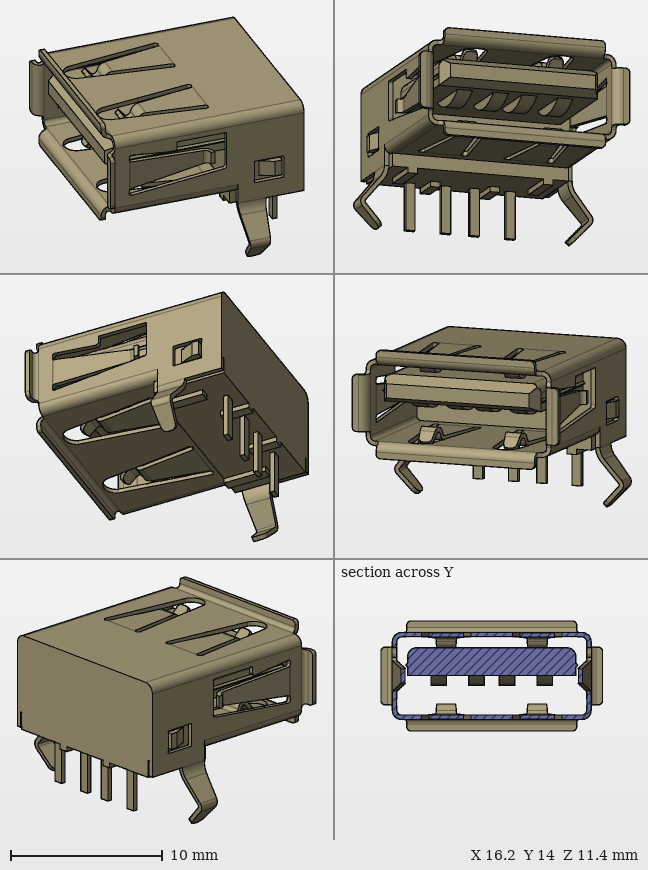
import cadquery as cq
import math


SHEET = 0.31
OPENING_WIDTH = 12.5
OPENING_HEIGHT = 5.14
SHELL_WIDTH = OPENING_WIDTH + 2 * SHEET
SHELL_HEIGHT = OPENING_HEIGHT + 2 * SHEET
TOTAL_DEPTH = 14.0
CORNER_RADIUS = 0.64
FLOOR_BACK = 9.31
SKIRT_BOTTOM = -0.76
MID_HEIGHT = SHELL_HEIGHT / 2

LIP_INNER_RADIUS = 0.3
LIP_ROOT = LIP_INNER_RADIUS + SHEET
LIP_REACH = 0.75
LIP_TIP_RADIUS = 0.3
LIP_RELIEF_RADIUS = 0.28
WIDE_LIP = 11.22
SIDE_LIP = 3.82

LEAF_X = 3.0
LEAF_ROOT = 8.0
LEAF_TAPER_FRONT = 1.38
LEAF_WINDOW_FRONT = 0.77
LEAF_WINDOW_ROOT_WIDTH = 3.49
LEAF_WINDOW_FRONT_WIDTH = 1.72
LEAF_ROOT_WIDTH = 2.61
LEAF_TAPER = 0.146
LEAF_SLOPE = 1.0
LEAF_LENGTH = 4.07
LEAF_STEP_RADIUS = 0.3
LEAF_STEP_TURN = 75.0
LEAF_CONTACT_RADIUS = 0.27
LEAF_TIP_RISE = 50.0
LEAF_TIP_LENGTH = 0.84
LEAF_TIP_RADIUS = 0.3
LEAF_SLOT_RADIUS = 0.2

SIDE_LEAF_ROOT = 1.62
SIDE_WINDOW_BACK = 8.51
SIDE_WINDOW_ROOT_HEIGHT = 3.06
SIDE_WINDOW_BACK_HEIGHT = 1.64
SIDE_NOTCH_FRONT = 5.0
SIDE_NOTCH_TOP = 4.75
WINDOW_CORNER_RADIUS = 0.1
SIDE_LEAF_ROOT_HEIGHT = 2.04
SIDE_LEAF_TAPER = 0.098
SIDE_LEAF_SLOPE = 6.0
SIDE_LEAF_LENGTH = 5.45
SIDE_LEAF_KINK_RADIUS = 0.3
SIDE_LEAF_CURL_RADIUS = 0.34
SIDE_LEAF_CURL = 90.0
SIDE_SLOT_RADIUS = 0.2

LATCH_WINDOW_Y = (10.47, 12.56)
LATCH_WINDOW_Z = (0.55, 2.155)
LATCH_Y = (10.94, 12.39)
LATCH_Z = (0.84, 1.93)
LATCH_CREST = 11.9
LATCH_HALF_SPAN = 6.68

TOTAL_WIDTH = 16.23
TOTAL_HEIGHT = 11.37
CLIP_HALF_SPAN = TOTAL_WIDTH / 2
CLIP_BOTTOM = SHELL_HEIGHT + LIP_REACH - TOTAL_HEIGHT
CLIP_Y = 10.31
CLIP_TOP_WIDTH = 2.03
CLIP_TAPER = 0.128
CLIP_OUTWARD = 40.0
CLIP_INWARD = 43.5
CLIP_BEND_RADIUS = 1.2
CLIP_ELBOW_INNER_RADIUS = 0.14
CLIP_TIP_RADIUS = 0.46

HOUSING_FRONT = 8.86
BASE_WIDTH = 12.3
BASE_BOTTOM = -0.88
FOOT_BOTTOM = -1.24
FOOT_WIDTH = 0.67
OUTER_FOOT_X = 4.74
INNER_FOOT_X = 2.08
FOOT_SPLIT = 11.92

TONGUE_WIDTH = 11.1
TONGUE_BOTTOM = 2.9
TONGUE_TOP = 4.75
TONGUE_FRONT = 0.46
TONGUE_BEVEL_BACK = 1.38
TONGUE_TOP_BEVEL = 0.52
TONGUE_BOTTOM_BEVEL = 0.38
TONGUE_SIDE_BEVEL = 0.48
TONGUE_TOP_RADIUS = 0.6
RIB_Z = 3.59
RIB_HALF_HEIGHT = 0.14
RIB_PROJECTION = 0.12

CONTACT_X = (-3.5, -1.0, 1.0, 3.5)
CONTACT_WIDTH = 1.04
CONTACT_Y = (2.0, 6.0)
CONTACT_BOTTOM = 2.25
PIN_WIDTH = 0.65
PIN_Y = (12.83, 13.16)
PIN_BOTTOM = -4.09


def block(x_range, y_range, z_range):
    """Box spanning the given ranges."""
    size = [high - low for low, high in (x_range, y_range, z_range)]
    return cq.Workplane("XY").box(*size, centered=False).translate((x_range[0], y_range[0], z_range[0]))


def both_sides(solid):
    """The solid together with its mirror image across X = 0."""
    return solid.union(solid.mirror("YZ"))


def bent_strip(plane, start, heading, moves, width):
    """Sheet strip whose centre line starts at `start` and follows the moves.

    A move is ("run", length) or ("bend", inner radius, turn in degrees); a positive turn is to the left.
    """
    x, y = start
    angle = math.radians(heading)

    def edge_points():
        offset_x = -math.sin(angle) * SHEET / 2
        offset_y = math.cos(angle) * SHEET / 2
        return (x + offset_x, y + offset_y), (x - offset_x, y - offset_y)

    stations = [edge_points()]
    arcs = []
    for kind, *values in moves:
        if kind == "run":
            steps = [(values[0], 0)]
        else:
            inner_radius, turn = values
            half_turn = math.radians(turn) / 2
            chord = 2 * (inner_radius + SHEET / 2) * math.sin(abs(half_turn) / 2)
            steps = [(chord, half_turn / 2)] * 2
            arcs.append(len(stations))
        for distance, swing in steps:
            angle += swing
            x += distance * math.cos(angle)
            y += distance * math.sin(angle)
            angle += swing
            stations.append(edge_points())

    left = [station[0] for station in stations]
    right = [station[1] for station in stations]
    outline = cq.Workplane(plane).moveTo(*left[0])
    for index in range(1, len(left)):
        if index in arcs:
            outline = outline.threePointArc(left[index], left[index + 1])
        elif index - 1 not in arcs:
            outline = outline.lineTo(*left[index])
    outline = outline.lineTo(*right[-1])
    for index in reversed(range(len(right) - 1)):
        if index in arcs:
            outline = outline.threePointArc(right[index], right[index - 1])
        elif index + 1 not in arcs:
            outline = outline.lineTo(*right[index])
    return outline.close().extrude(width / 2, both=True)


def shell_tube():
    """Closed rectangular tube at the front, open-bottomed with straight skirts at the back."""
    mouth_plane = cq.Workplane("XZ", origin=(0, LIP_ROOT, MID_HEIGHT))
    length = TOTAL_DEPTH - LIP_ROOT
    outer = mouth_plane.rect(SHELL_WIDTH, SHELL_HEIGHT).extrude(-length).edges("|Y").fillet(CORNER_RADIUS)
    inner = mouth_plane.rect(OPENING_WIDTH, OPENING_HEIGHT).extrude(-length)
    inner = inner.edges("|Y").fillet(CORNER_RADIUS - SHEET)
    half_opening = OPENING_WIDTH / 2
    back = (FLOOR_BACK, TOTAL_DEPTH)
    open_floor = block((-half_opening, half_opening), back, (0, MID_HEIGHT))
    skirt = block((half_opening, SHELL_WIDTH / 2), back, (SKIRT_BOTTOM, MID_HEIGHT))
    return outer.cut(inner).cut(open_floor).union(both_sides(skirt))


def lip(width):
    """Outward-flared lip of a roof whose outer face is at Z = 0."""
    straight = LIP_REACH - LIP_INNER_RADIUS
    moves = [("bend", LIP_INNER_RADIUS, -90), ("run", straight)]
    start = (LIP_ROOT, -SHEET / 2)
    flared = bent_strip("YZ", start, 180, moves, width).edges("|Y and >Z").fillet(LIP_TIP_RADIUS)
    wide = bent_strip("YZ", start, 180, moves, width + 2 * LIP_RELIEF_RADIUS)
    half = width / 2
    middle = LIP_RELIEF_RADIUS * (1 - math.sqrt(0.5))
    relief_front = LIP_ROOT - LIP_RELIEF_RADIUS
    root = (
        cq.Workplane("XY", origin=(0, 0, -SHEET))
        .moveTo(-half - LIP_RELIEF_RADIUS, LIP_ROOT)
        .threePointArc((-half - middle, LIP_ROOT - middle), (-half, relief_front))
        .lineTo(half, relief_front)
        .threePointArc((half + middle, LIP_ROOT - middle), (half + LIP_RELIEF_RADIUS, LIP_ROOT))
        .close()
        .extrude(SHEET + LIP_REACH)
    )
    return flared.union(wide.intersect(root))


def lips():
    """The four lips around the mouth."""
    wide_lip = lip(WIDE_LIP)
    roof_lip = wide_lip.translate((0, 0, SHELL_HEIGHT))
    floor_lip = wide_lip.mirror("XY")
    side_lip = lip(SIDE_LIP).rotate((0, 0, 0), (0, 1, 0), 90).translate((SHELL_WIDTH / 2, 0, MID_HEIGHT))
    return roof_lip.union(floor_lip).union(both_sides(side_lip))


def leaf_window():
    """Tapered roof window with a rounded front end, centred on X = 0."""
    root_half = LEAF_WINDOW_ROOT_WIDTH / 2
    front_half = LEAF_WINDOW_FRONT_WIDTH / 2
    return (
        cq.Workplane("XY", origin=(0, 0, MID_HEIGHT))
        .moveTo(-root_half, LEAF_ROOT)
        .lineTo(-front_half, LEAF_TAPER_FRONT)
        .threePointArc((0, LEAF_WINDOW_FRONT), (front_half, LEAF_TAPER_FRONT))
        .lineTo(root_half, LEAF_ROOT)
        .close()
        .extrude(SHELL_HEIGHT)
    )


def leaf_blank():
    """Flat tapered outline of a roof leaf."""
    root_half = LEAF_ROOT_WIDTH / 2
    front_half = root_half - LEAF_TAPER * (LEAF_ROOT - LEAF_TAPER_FRONT)
    return (
        cq.Workplane("XY", origin=(0, 0, MID_HEIGHT))
        .moveTo(-root_half, LEAF_ROOT)
        .lineTo(-front_half, LEAF_TAPER_FRONT)
        .lineTo(front_half, LEAF_TAPER_FRONT)
        .lineTo(root_half, LEAF_ROOT)
        .close()
        .extrude(SHELL_HEIGHT)
    )


def roof_leaf():
    """Window and bent leaf of one roof spring, centred on X = 0."""
    window = leaf_window()
    slot = window.cut(leaf_blank()).edges("|Z and >Y").fillet(LEAF_SLOT_RADIUS)
    window = window.edges("|Z and >Y").fillet(LEAF_SLOT_RADIUS)
    moves = [
        ("bend", LEAF_STEP_RADIUS, LEAF_SLOPE),
        ("run", LEAF_LENGTH),
        ("bend", LEAF_STEP_RADIUS, LEAF_STEP_TURN),
        ("bend", LEAF_CONTACT_RADIUS, -LEAF_SLOPE - LEAF_STEP_TURN - LEAF_TIP_RISE),
        ("run", LEAF_TIP_LENGTH),
    ]
    start = (LEAF_ROOT, SHELL_HEIGHT - SHEET / 2)
    leaf = bent_strip("YZ", start, 180, moves, LEAF_WINDOW_ROOT_WIDTH).intersect(window).cut(slot)
    leaf = leaf.faces("<Y").edges("not |X").fillet(LEAF_TIP_RADIUS)
    return window, leaf


def side_taper(root_height, back_height):
    """Prism through the right wall, tapering from the side leaf root to the back of its window."""
    root_half = root_height / 2
    back_half = back_height / 2
    return (
        cq.Workplane("YZ", origin=(0, 0, MID_HEIGHT))
        .moveTo(SIDE_LEAF_ROOT, root_half)
        .lineTo(SIDE_WINDOW_BACK, back_half)
        .lineTo(SIDE_WINDOW_BACK, -back_half)
        .lineTo(SIDE_LEAF_ROOT, -root_half)
        .close()
        .extrude(SHELL_WIDTH)
    )


def side_window(taper):
    """Side leaf window: the taper with rounded corners and a raised notch at its back."""
    notch = block((0, SHELL_WIDTH), (SIDE_NOTCH_FRONT, SIDE_WINDOW_BACK), (MID_HEIGHT, SIDE_NOTCH_TOP))
    notch = notch.edges("|X and >Z").fillet(WINDOW_CORNER_RADIUS)
    window = taper.edges("|X").fillet(SIDE_SLOT_RADIUS).union(notch)
    forward = (SIDE_NOTCH_FRONT - SIDE_LEAF_ROOT) / (SIDE_WINDOW_BACK - SIDE_LEAF_ROOT)
    window_height = SIDE_WINDOW_ROOT_HEIGHT + forward * (SIDE_WINDOW_BACK_HEIGHT - SIDE_WINDOW_ROOT_HEIGHT)
    inner_corner = (SHELL_WIDTH / 2, SIDE_NOTCH_FRONT, MID_HEIGHT + window_height / 2)
    return window.edges(cq.NearestToPointSelector(inner_corner)).fillet(SIDE_SLOT_RADIUS)


def side_leaf():
    """Window and bent leaf of the right wall spring."""
    taper = side_taper(SIDE_WINDOW_ROOT_HEIGHT, SIDE_WINDOW_BACK_HEIGHT)
    narrowing = 2 * SIDE_LEAF_TAPER * (SIDE_WINDOW_BACK - SIDE_LEAF_ROOT)
    blank = side_taper(SIDE_LEAF_ROOT_HEIGHT, SIDE_LEAF_ROOT_HEIGHT - narrowing)
    slot = taper.cut(blank).edges("|X and <Y").fillet(SIDE_SLOT_RADIUS)
    flared_blank = taper.cut(slot)
    moves = [
        ("bend", SIDE_LEAF_KINK_RADIUS, SIDE_LEAF_SLOPE),
        ("run", SIDE_LEAF_LENGTH),
        ("bend", SIDE_LEAF_CURL_RADIUS, -SIDE_LEAF_SLOPE - SIDE_LEAF_CURL),
    ]
    start = (OPENING_WIDTH / 2 + SHEET / 2, SIDE_LEAF_ROOT)
    leaf = bent_strip("XY", start, 90, moves, 2 * SHELL_HEIGHT).intersect(flared_blank)
    return side_window(taper), leaf


def clip():
    """Board clip hanging from the right skirt: outward, then back inward past an elbow."""
    outward = math.radians(CLIP_OUTWARD)
    inward = math.radians(CLIP_INWARD)
    elbow_radius = CLIP_ELBOW_INNER_RADIUS + SHEET
    bent_reach = (CLIP_BEND_RADIUS + elbow_radius) * (1 - math.cos(outward))
    upper = (CLIP_HALF_SPAN - SHELL_WIDTH / 2 - bent_reach) / math.sin(outward)
    bend_drop = CLIP_BEND_RADIUS * math.sin(outward)
    elbow_drop = elbow_radius * (math.sin(outward) + math.sin(inward))
    drop = SKIRT_BOTTOM - CLIP_BOTTOM
    lower = (drop - bend_drop - upper * math.cos(outward) - elbow_drop) / math.cos(inward)
    moves = [
        ("bend", CLIP_BEND_RADIUS, CLIP_OUTWARD),
        ("run", upper),
        ("bend", CLIP_ELBOW_INNER_RADIUS, -CLIP_OUTWARD - CLIP_INWARD),
        ("run", lower),
    ]
    start = (SHELL_WIDTH / 2 - SHEET / 2, SKIRT_BOTTOM)
    strip = bent_strip("XZ", start, -90, moves, CLIP_TOP_WIDTH)
    strip = strip.translate((0, CLIP_Y, 0))
    top_half = CLIP_TOP_WIDTH / 2
    bottom_half = top_half - CLIP_TAPER * drop
    blank = (
        cq.Workplane("YZ", origin=(0, CLIP_Y, 0))
        .moveTo(-top_half, SKIRT_BOTTOM)
        .lineTo(-bottom_half, CLIP_BOTTOM)
        .lineTo(bottom_half, CLIP_BOTTOM)
        .lineTo(top_half, SKIRT_BOTTOM)
        .close()
        .extrude(2 * CLIP_HALF_SPAN)
    )
    return strip.intersect(blank).faces("<Z").edges("not |Y").fillet(CLIP_TIP_RADIUS)


def shell():
    """Complete sheet shell with lips, springs, latch windows and clips."""
    body = shell_tube().union(lips())
    window, leaf = roof_leaf()
    window = both_sides(window.translate((LEAF_X, 0, 0)))
    leaf = both_sides(leaf.translate((LEAF_X, 0, 0)))
    base_point = (0, 0, MID_HEIGHT)
    body = body.cut(window).cut(window.mirror("XY", base_point))
    body = body.union(leaf).union(leaf.mirror("XY", base_point))
    window, leaf = side_leaf()
    body = body.cut(both_sides(window)).union(both_sides(leaf))
    latch_window = block((OPENING_WIDTH / 2, SHELL_WIDTH / 2), LATCH_WINDOW_Y, LATCH_WINDOW_Z)
    latch_window = latch_window.edges("|X").fillet(WINDOW_CORNER_RADIUS)
    return body.cut(both_sides(latch_window)).union(both_sides(clip()))


def latch():
    """Wedge on the right of the housing that catches the shell window."""
    wall = OPENING_WIDTH / 2
    return (
        cq.Workplane("XY", origin=(0, 0, LATCH_Z[0]))
        .moveTo(wall, LATCH_Y[0])
        .lineTo(LATCH_HALF_SPAN, LATCH_CREST)
        .lineTo(LATCH_HALF_SPAN, LATCH_Y[1])
        .lineTo(wall, LATCH_Y[1])
        .close()
        .extrude(LATCH_Z[1] - LATCH_Z[0])
    )


def tongue():
    """Tongue with rounded top edges and a bevelled front."""
    half = TONGUE_WIDTH / 2
    bar = block((-half, half), (TONGUE_FRONT, HOUSING_FRONT), (TONGUE_BOTTOM, TONGUE_TOP))
    bar = bar.edges("|Y and >Z").fillet(TONGUE_TOP_RADIUS)
    side_outline = [
        (HOUSING_FRONT, TONGUE_BOTTOM),
        (TONGUE_BEVEL_BACK, TONGUE_BOTTOM),
        (TONGUE_FRONT, TONGUE_BOTTOM + TONGUE_BOTTOM_BEVEL),
        (TONGUE_FRONT, TONGUE_TOP - TONGUE_TOP_BEVEL),
        (TONGUE_BEVEL_BACK, TONGUE_TOP),
        (HOUSING_FRONT, TONGUE_TOP),
    ]
    nose = half - TONGUE_SIDE_BEVEL
    top_outline = [
        (-half, HOUSING_FRONT),
        (-half, TONGUE_BEVEL_BACK),
        (-nose, TONGUE_FRONT),
        (nose, TONGUE_FRONT),
        (half, TONGUE_BEVEL_BACK),
        (half, HOUSING_FRONT),
    ]
    bar = bar.intersect(cq.Workplane("YZ").polyline(side_outline).close().extrude(half, both=True))
    bar = bar.intersect(cq.Workplane("XY").polyline(top_outline).close().extrude(SHELL_HEIGHT))
    rib_outline = [
        (half, RIB_Z + RIB_HALF_HEIGHT),
        (half + RIB_PROJECTION, RIB_Z),
        (half, RIB_Z - RIB_HALF_HEIGHT),
    ]
    rib_plane = cq.Workplane("XZ", origin=(0, HOUSING_FRONT, 0))
    rib = rib_plane.polyline(rib_outline).close().extrude(HOUSING_FRONT - TONGUE_BEVEL_BACK)
    return bar.union(both_sides(rib))


def housing():
    """Plastic body behind the mouth, its base and feet, the latches and the tongue."""
    half_opening = OPENING_WIDTH / 2
    half_base = BASE_WIDTH / 2
    depth = (HOUSING_FRONT, TOTAL_DEPTH)
    body = block((-half_opening, half_opening), depth, (SHEET, SHELL_HEIGHT - SHEET))
    body = body.union(block((-half_base, half_base), depth, (BASE_BOTTOM, SHEET)))
    foot_places = ((OUTER_FOOT_X, (HOUSING_FRONT, FOOT_SPLIT)), (INNER_FOOT_X, (FOOT_SPLIT, TOTAL_DEPTH)))
    for x, y_range in foot_places:
        foot = block((x - FOOT_WIDTH / 2, x + FOOT_WIDTH / 2), y_range, (FOOT_BOTTOM, BASE_BOTTOM))
        body = body.union(both_sides(foot))
    return body.union(both_sides(latch())).union(tongue())


def contact(x):
    """Arched contact below the tongue and its solder pin."""
    middle = sum(CONTACT_Y) / 2
    arch = (
        cq.Workplane("YZ", origin=(x, 0, 0))
        .moveTo(CONTACT_Y[0], TONGUE_BOTTOM)
        .threePointArc((middle, CONTACT_BOTTOM), (CONTACT_Y[1], TONGUE_BOTTOM))
        .close()
        .extrude(CONTACT_WIDTH / 2, both=True)
    )
    pin = block((x - PIN_WIDTH / 2, x + PIN_WIDTH / 2), PIN_Y, (PIN_BOTTOM, BASE_BOTTOM))
    return arch.union(pin)


result = shell().union(housing())
for contact_x in CONTACT_X:
    result = result.union(contact(contact_x))